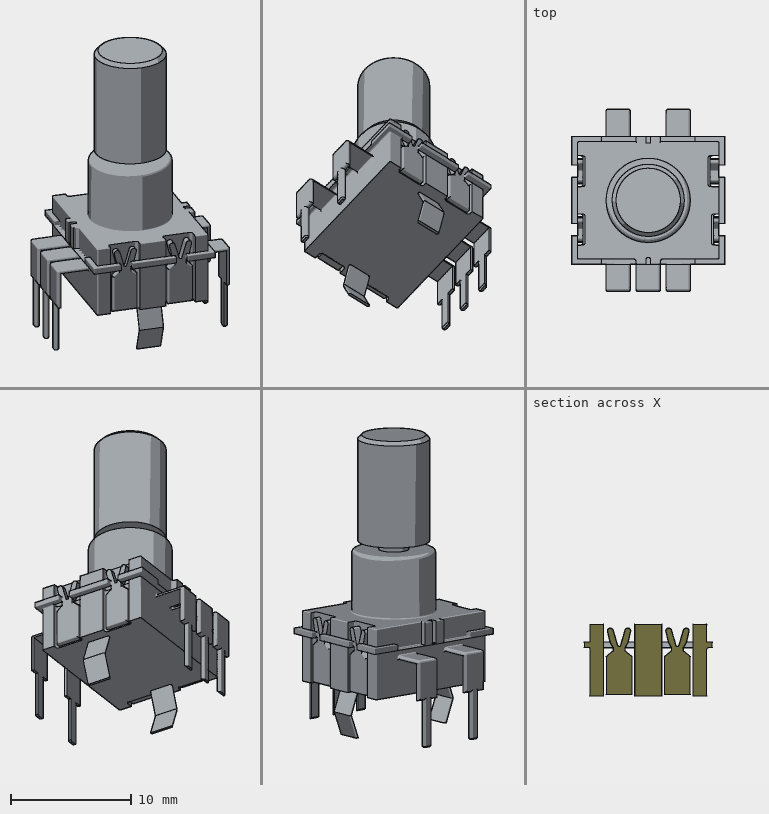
import cadquery as cq
import math


overlap = 0.25
pick_margin = 0.02

half_turn = ((0, 0, 0), (0, 0, 1), 180)

overall_height = 25.0
pin_tip_z = -4.05
shaft_top_z = pin_tip_z + overall_height
flange_length = 12.75
pin_span = 15.18

housing_length = 11.75
housing_width = 9.75
housing_height = 5.98
housing_edge_radius = 0.1
housing_top_radius = 0.08
flange_width = 10.65
flange_bottom_z = 4.0
flange_thickness = 0.5
flange_edge_radius = 0.038
flange_root_radius = 0.15
ledge_half_length = 3.9
ledge_thickness = 0.088

tab_width = 2.05
tab_root_radius = 0.2
slit_width = 0.38
slit_depth = 0.58
slit_end_radius = 0.18

clip_center_y = 2.42
pocket_width = 2.58
pocket_corner_radius = 0.2
pocket_step = 0.18
clip_thickness = 0.45
deep_clip_thickness = 0.72

clip_base_z = 0.12
clip_blade_half = 1.08
clip_shoulder_z = 3.3
clip_neck_half = 0.5
clip_neck_bottom_z = 3.78
clip_neck_top_z = 4.45
clip_edge_radius = 0.12
ear_offset = 0.72
ear_radius = 0.25
ear_top_z = 5.65
notch_radius = 0.12
notch_bottom_z = 4.12

bushing_radius = 7 / 2
bushing_top_z = 11.22
bushing_edge_radius = 0.3
bushing_root_radius = 0.1
neck_radius = 2.5 / 2
shaft_radius = 6 / 2
shaft_bottom_z = 11.95
shaft_chamfer = 0.32

pin_pitch = 2.5
pin_width = 2.05
pin_thickness = 0.32
pin_arm_thickness = 0.28
pin_top_z = 3.42
pin_shoulder_z = 0.02
pin_leg_width = 0.8
pin_edge_radius = 0.2
pin_root_radius = 0.08
pin_tip_chamfer = 0.12

leg_width = 2.12
leg_thickness = 0.22
leg_root_x = 4.72
leg_bend_x = 5.48
leg_edge_radius = 0.1


def block(x_range, y_range, z_range):
    """Box between the given limits along each axis."""
    (x0, x1), (y0, y1), (z0, z1) = x_range, y_range, z_range
    return cq.Workplane("XY").box(x1 - x0, y1 - y0, z1 - z0, centered=False).translate((x0, y0, z0))


def edges_within(x_range, y_range, z_range):
    """Selector of the edges lying wholly inside the given limits, with a small margin."""
    limits = (x_range, y_range, z_range)
    low = [start - pick_margin for start, end in limits]
    high = [end + pick_margin for start, end in limits]
    return cq.selectors.BoxSelector(low, high, boundingbox=True)


def centered_box(length, width, height, bottom_z):
    """Box centred on the shaft axis and standing on the given height."""
    return cq.Workplane("XY").box(length, width, height, (True, True, False)).translate((0, 0, bottom_z))


def make_block():
    """Plain housing block with rounded upright corners."""
    body = centered_box(housing_length, housing_width, housing_height, 0)
    return body.edges("|Z").fillet(housing_edge_radius)


def make_flange():
    """Rim plate, thinned to a ledge at the front and back and open beside each clip."""
    plate = centered_box(flange_length, flange_width, flange_thickness, flange_bottom_z)
    plate_z = (flange_bottom_z, flange_bottom_z + flange_thickness)
    ledge_z = (flange_bottom_z + ledge_thickness, flange_bottom_z + flange_thickness)
    for side in (-1, 1):
        rim_y = sorted((side * housing_width / 2, side * flange_width / 2))
        plate = plate.cut(block((-ledge_half_length, ledge_half_length), rim_y, ledge_z))
        rim_x = sorted((side * housing_length / 2, side * flange_length / 2))
        for center_y in (-clip_center_y, clip_center_y):
            gap_y = (center_y - clip_neck_half, center_y + clip_neck_half)
            plate = plate.cut(block(rim_x, gap_y, plate_z))
    return plate.edges().fillet(flange_edge_radius)


def make_tab():
    """Tab on the back wall."""
    side_x = (-tab_width / 2, tab_width / 2)
    return block(side_x, (0, flange_width / 2), (flange_bottom_z, housing_height))


def make_slit():
    """Slit into the back tab, reaching down to the ledge."""
    rim_y = flange_width / 2
    z_range = (flange_bottom_z + ledge_thickness, housing_height)
    return block((-slit_width / 2, slit_width / 2), (rim_y - slit_depth, rim_y), z_range)


def round_front_tab(body):
    """Concave roots where the front tab meets the wall."""
    wall_y = -housing_width / 2
    roots = edges_within(
        (-tab_width / 2, tab_width / 2),
        (wall_y, wall_y),
        (flange_bottom_z, housing_height),
    )
    return body.edges(roots).edges("|Z").fillet(tab_root_radius)


def make_flange_root():
    """Fillet under the back of the flange, from the rearmost pockets around the back wall."""
    plate = centered_box(flange_length, flange_width, flange_thickness, flange_bottom_z)
    under_flange = edges_within(
        (-housing_length / 2, housing_length / 2),
        (-housing_width / 2, housing_width / 2),
        (flange_bottom_z, flange_bottom_z),
    )
    root = make_block().union(plate).edges(under_flange).fillet(flange_root_radius)
    kept = block(
        (-flange_length / 2, flange_length / 2),
        (clip_center_y + pocket_width / 2, housing_width / 2 + flange_root_radius),
        (flange_bottom_z - flange_root_radius, flange_bottom_z),
    )
    return root.intersect(kept)


def make_pocket(depth):
    """Pocket for one clip on the +X wall, centred on Y = 0."""
    def recess(recess_depth, bottom_z):
        inner = housing_length / 2 - recess_depth
        side_y = (-pocket_width / 2, pocket_width / 2)
        box = block((inner, housing_length / 2), side_y, (bottom_z, housing_height))
        return box.edges("|Z and <X").fillet(pocket_corner_radius)

    return recess(depth, 0).union(recess(depth + pocket_step, flange_bottom_z))


def make_clip(thickness):
    """Flat clip with two round-ended ears, its outer face flush with the +X wall."""
    ear_center_z = ear_top_z - ear_radius
    run = ear_offset
    rise = ear_center_z - notch_bottom_z - notch_radius
    offset = math.asin((ear_radius + notch_radius) / math.hypot(run, rise))
    lean = math.atan2(run, rise) - offset
    normal_y, normal_z = math.cos(lean), math.sin(lean)
    ear_inner = (ear_offset - ear_radius * normal_y, ear_center_z + ear_radius * normal_z)
    notch_side = (notch_radius * normal_y, notch_bottom_z + notch_radius - notch_radius * normal_z)
    ear_outer = (ear_offset + ear_radius, ear_center_z)

    def left(point):
        return (-point[0], point[1])

    outline = (
        cq.Workplane("YZ")
        .moveTo(-clip_blade_half, clip_base_z)
        .lineTo(clip_blade_half, clip_base_z)
        .lineTo(clip_blade_half, clip_shoulder_z)
        .lineTo(clip_neck_half, clip_neck_bottom_z)
        .lineTo(clip_neck_half, flange_bottom_z)
        .lineTo(clip_neck_half + ear_radius, clip_neck_top_z)
        .lineTo(*ear_outer)
        .threePointArc((ear_offset, ear_top_z), ear_inner)
        .lineTo(*notch_side)
        .threePointArc((0, notch_bottom_z), left(notch_side))
        .lineTo(*left(ear_inner))
        .threePointArc((-ear_offset, ear_top_z), left(ear_outer))
        .lineTo(-clip_neck_half - ear_radius, clip_neck_top_z)
        .lineTo(-clip_neck_half, flange_bottom_z)
        .lineTo(-clip_neck_half, clip_neck_bottom_z)
        .lineTo(-clip_blade_half, clip_shoulder_z)
        .close()
    )
    clip = outline.extrude(thickness).translate((housing_length / 2 - thickness, 0, 0))
    blade_edges = edges_within(
        (housing_length / 2, housing_length / 2),
        (-clip_blade_half, clip_blade_half),
        (clip_base_z, clip_neck_bottom_z),
    )
    return clip.edges(blade_edges).fillet(clip_edge_radius)


def make_shaft():
    """Bushing, narrow neck and shaft, stacked on the housing."""
    def cylinder(radius, bottom_z, top_z):
        return cq.Workplane("XY").circle(radius).extrude(top_z - bottom_z).translate((0, 0, bottom_z))

    bushing = cylinder(bushing_radius, housing_height, bushing_top_z)
    bushing = bushing.faces(">Z").edges().fillet(bushing_edge_radius)
    neck = cylinder(neck_radius, bushing_top_z, shaft_bottom_z)
    shaft = cylinder(shaft_radius, shaft_bottom_z, shaft_top_z)
    shaft = shaft.faces(">Z").edges().chamfer(shaft_chamfer)
    return bushing.union(neck).union(shaft)


def make_pin():
    """Bent pin leaving the back (+Y) wall, wide at the top and narrow below."""
    outer_y = pin_span / 2
    wall_y = housing_width / 2
    half = pin_width / 2
    arm = block((-half, half), (wall_y - overlap, outer_y), (pin_top_z - pin_arm_thickness, pin_top_z))
    drop = block((-half, half), (outer_y - pin_thickness, outer_y), (pin_shoulder_z, pin_top_z))
    leg_half = pin_leg_width / 2
    leg = block((-leg_half, leg_half), (outer_y - pin_thickness, outer_y), (pin_tip_z, pin_shoulder_z))
    pin = arm.union(drop).union(leg)
    return pin.faces(">Y or >Z").edges("not (<Y or <Z)").fillet(pin_edge_radius)


def make_legs():
    """Pair of bent mounting legs under the housing."""
    bend_z = pin_tip_z / 2
    leg = (
        cq.Workplane("XZ")
        .moveTo(leg_root_x - leg_thickness / 2, 0)
        .lineTo(leg_bend_x - leg_thickness / 2, bend_z)
        .lineTo(leg_root_x - leg_thickness / 2, pin_tip_z)
        .lineTo(leg_root_x + leg_thickness / 2, pin_tip_z)
        .lineTo(leg_bend_x + leg_thickness / 2, bend_z)
        .lineTo(leg_root_x + leg_thickness / 2, 0)
        .close()
        .extrude(leg_width / 2, both=True)
    )
    leg = leg.edges("not |Y").edges(">Y or <Y").fillet(leg_edge_radius)
    return leg.union(leg.mirror("YZ"))


def add_clips(body):
    """Two clips in pockets on each side wall; the one at +X, +Y is thicker."""
    for side in (-1, 1):
        for center_y in (-clip_center_y, clip_center_y):
            is_deep = side > 0 and center_y > 0
            thickness = deep_clip_thickness if is_deep else clip_thickness
            pocket = make_pocket(thickness).translate((0, center_y, 0))
            clip = make_clip(thickness).translate((0, center_y, 0))
            if side < 0:
                pocket = pocket.mirror("YZ")
                clip = clip.mirror("YZ")
            body = body.cut(pocket).union(clip)
    return body


def add_shaft(body):
    """Bushing and shaft with a small fillet where the bushing meets the housing."""
    body = body.union(make_shaft())
    root = edges_within(
        (-bushing_radius, bushing_radius),
        (-bushing_radius, bushing_radius),
        (housing_height, housing_height),
    )
    return body.edges(root).edges("%CIRCLE").fillet(bushing_root_radius)


def add_pins(body):
    """Three pins at the front and two at the back, with rounded roots at the walls."""
    back_pin = make_pin()
    rows = (
        (back_pin, (-pin_pitch, pin_pitch), housing_width / 2),
        (back_pin.rotate(*half_turn), (-pin_pitch, 0, pin_pitch), -housing_width / 2),
    )
    for pin, places, wall_y in rows:
        pin = pin.faces("<Z").edges(">Y").chamfer(pin_tip_chamfer)
        for x in places:
            body = body.union(pin.translate((x, 0, 0)))
        roots = edges_within(
            (-pin_pitch - pin_width / 2, pin_pitch + pin_width / 2),
            (wall_y, wall_y),
            (pin_top_z - pin_arm_thickness, pin_top_z),
        )
        body = body.edges(roots).fillet(pin_root_radius)
    return body


tab = make_tab()
slit = make_slit()
front_slit = slit.rotate(*half_turn).edges("|Z and >Y").fillet(slit_end_radius)
housing = make_block().union(tab).union(tab.rotate(*half_turn))
housing = round_front_tab(housing).faces(">Z").edges().fillet(housing_top_radius)
housing = housing.union(make_flange()).cut(slit).cut(front_slit)

result = add_clips(housing).union(make_flange_root())
result = add_shaft(result)
result = add_pins(result)
result = result.union(make_legs())